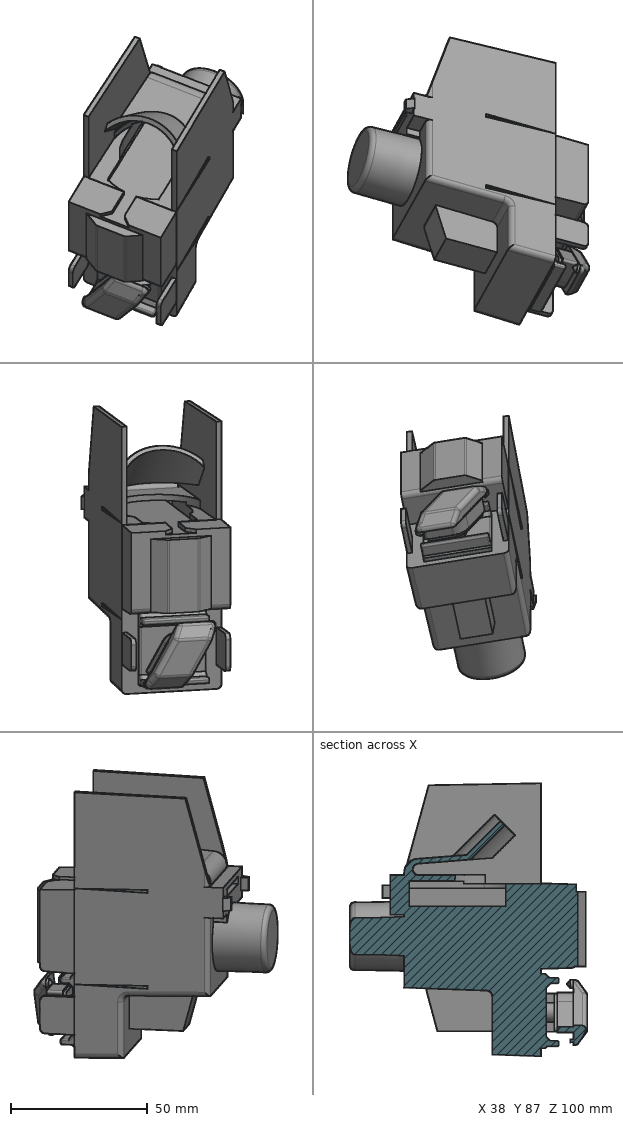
import cadquery as cq
import math


height = 100.0
width = 38.0
housing_depth = 50.2
plate_thickness = 2.0
draft = math.tan(math.radians(1))
bottom_slope = math.tan(math.radians(2))
edge_radius = 2.0
foot_depth = 18.0
foot_top = 24.0
plate_top_depth = 41.2
slant_foot = 66.4
floor_height = 63.2

rib_length = 27.2
rib_thickness = 1.1
rib_heights = (28.0, 64.0)

recess_half_width = 10.4
recess_floor = 61.6
recess_roof = 64.2
recess_corner = 2.5
side_slot_half_width = 13.4
side_slot_start = 13.0
side_slot_full_width = 21.0
side_slot_bend = (12.4, 16.5)
side_slot_bottom = 55.0

shelf_top = 66.4
shelf_half_width = 16.5
shelf_edge_middle = 35.2
shelf_edge_side = 20.5
sheet_half_width = 15.1
sheet_thickness = 1.9
sheet_back_top = 72.4
sheet_slope = math.tan(math.radians(4.5))
bend_radius = 5.3
scoop_radius = 19.3
scoop_apex_y = 17.1
scoop_apex_z = 88.5

bar_front = 48.2
bar_back = 55.3
bar_bottom = 54.9
bar_foot_bottom = 51.8
bar_foot_half_width = 11.0
hook_bottom = 57.9
hook_top = 62.7
hook_inner = 15.7
hook_tip = 17.4
hook_length = 2.8

knob_base_radius = 12.8
knob_end_radius = 12.5
knob_height = 44.0
knob_end = 70.1
knob_rounding = 2.0

rail_half_width = 6.0
rail_bottom = 9.2
rail_back = 38.0
rail_top_back = 42.0

block_half_width = 18.8
block_depth = 12.9
block_bottom = 32.0
block_top = 63.4
block_slope = 0.4
block_rounding = 2.0
panel_height = 3.4
panel_base_half_width = 11.5
panel_face_half_width = 5.8
panel_bottom = 32.9
panel_top = 60.3
panel_rounding = 1.6
key_half_width = 2.5
key_flare_half_width = 5.8
key_flare_depth = 3.1

tab_thickness = 1.8
tab_rounding = 2.0
tab_top = 23.1
left_tab_bottom = 11.1
right_tab_bottom = 9.0

frame_half_width = 12.6
frame_thickness = 1.9
frame_bottom = 3.0
frame_top = 30.3
jaw_reach = 6.5
jaw_thickness = 2.2
jaw_inset = 1.4
lower_jaw_inset = 0.6
jaw_root = 1.5
frame_edge_radius = 0.5
jaw_tip_radius = 0.7
lever_height = 16.1
lever_half_length = 12.0
lever_half_width = 7.8
lever_tilt = math.tan(math.radians(30))
lever_base = 11.8
lever_rim = 1.3
lever_face = 16.9
lever_face_half_length = 6.8
lever_corner_radius = 2.0
lever_edge_radius = 1.9
stem_diameter = 13.0
stem_half_length = 7.4
stem_tip_radius = 0.8
collar_inset = 0.6
collar_length = 1.2
shaft_diameter = 7.0
stem_start = 5.9
peg_radius = 1.6
peg_length = 1.1
peg_point = 1.4

half_width = width / 2


def box(x_min, x_max, y_min, y_max, z_min, z_max):
    size = (x_max - x_min, y_max - y_min, z_max - z_min)
    return cq.Workplane("XY").box(*size, centered=False).translate((x_min, y_min, z_min))


def side_profile(points, x_min, x_max):
    """Extrude a closed outline of (Y, Z) points along X."""
    return cq.Workplane("YZ").workplane(offset=x_min).polyline(points).close().extrude(x_max - x_min)


def plan_profile(points, z_min, z_max):
    """Extrude a closed outline of (X, Y) points along Z."""
    return cq.Workplane("XY").workplane(offset=z_min).polyline(points).close().extrude(z_max - z_min)


def mirrored(points):
    """Complete an outline given by its +X half."""
    return points + [(-x, y) for x, y in reversed(points)]


def housing():
    back_half_width = half_width - draft * housing_depth
    foot_back_z = bottom_slope * foot_depth
    body_back_z = foot_top + bottom_slope * (housing_depth - foot_depth)
    outline = [
        (0, 0),
        (foot_depth, foot_back_z),
        (foot_depth, foot_top),
        (housing_depth, body_back_z),
        (housing_depth, height),
        (0, height),
    ]
    plan = mirrored([(half_width, 0), (back_half_width, housing_depth)])
    body = side_profile(outline, -half_width, half_width).intersect(plan_profile(plan, 0, height))
    inner_foot_corner = cq.selectors.NearestToPointSelector((0, foot_depth, foot_top))
    body = body.edges(inner_foot_corner).fillet(edge_radius)
    rounded = body.faces("<X or >X").edges().edges(cq.selectors.BoxSelector(
        (-half_width - 1, 0.1, -1), (half_width + 1, housing_depth + 1, height - 0.1)))
    body = rounded.fillet(edge_radius)

    inner_half_width = half_width - plate_thickness
    gap = mirrored([
        (inner_half_width, -1),
        (inner_half_width - draft * (housing_depth + 1), housing_depth + 1),
    ])
    body = body.cut(plan_profile(gap, floor_height, height + 1))
    top_cut = [(0, height), (housing_depth, height - draft * housing_depth),
               (housing_depth, height + 1), (0, height + 1)]
    slant_run = housing_depth - plate_top_depth
    plate_top_back = height - draft * plate_top_depth
    slant_rise = plate_top_back - slant_foot
    slant_cut = [
        (housing_depth, slant_foot),
        (housing_depth + slant_run, slant_foot),
        (housing_depth + slant_run, plate_top_back + slant_rise),
        (plate_top_depth - slant_run, plate_top_back + slant_rise),
    ]
    for cut in (top_cut, slant_cut):
        body = body.cut(side_profile(cut, -width, width))
    return body


def guide_ribs():
    inner = half_width - plate_thickness
    ribs = cq.Workplane("XY")
    for z in rib_heights:
        for x_min in (-half_width, inner):
            wedge = [(0, z), (rib_length, z + rib_thickness / 2), (rib_length, z - rib_thickness / 2)]
            ribs = ribs.add(side_profile(wedge, x_min, x_min + plate_thickness))
    return ribs.combine()


def floor_recess():
    back = bar_back + 1
    middle = (
        cq.Workplane("XY").workplane(offset=recess_floor)
        .moveTo(recess_half_width, recess_corner)
        .threePointArc((0, 0), (-recess_half_width, recess_corner))
        .lineTo(-recess_half_width, back)
        .lineTo(recess_half_width, back)
        .close().extrude(recess_roof - recess_floor)
    )
    slot = (
        cq.Workplane("XY").workplane(offset=side_slot_bottom)
        .moveTo(recess_half_width, side_slot_start)
        .threePointArc(side_slot_bend, (side_slot_half_width, side_slot_full_width))
        .lineTo(side_slot_half_width, bar_front)
        .lineTo(recess_half_width, bar_front)
        .close().extrude(recess_roof - side_slot_bottom)
    )
    return middle.union(slot).union(slot.mirror("YZ"))


def shelf():
    return (
        cq.Workplane("XY").workplane(offset=floor_height)
        .moveTo(shelf_half_width, shelf_edge_side)
        .threePointArc((0, shelf_edge_middle), (-shelf_half_width, shelf_edge_side))
        .lineTo(-shelf_half_width, bar_front)
        .lineTo(shelf_half_width, bar_front)
        .close().extrude(shelf_top - floor_height)
    )


def tilted_cylinder(radius):
    """Cylinder whose axis slopes down at 45 degrees from the open end of the scoop."""
    drop = scoop_radius * math.sqrt(0.5)
    end = cq.Plane(
        origin=(0, scoop_apex_y - drop, scoop_apex_z - drop), xDir=(1, 0, 0), normal=(0, 1, -1)
    )
    return cq.Workplane(end).circle(radius).extrude(height)


def guide_sheet():
    back = housing_depth
    bend_start = back - bend_radius
    rise = sheet_slope * (bend_start - scoop_apex_y)
    underside = sheet_back_top - sheet_thickness
    fold_radius = (underside - shelf_top) / 2
    sheet = (
        cq.Workplane("YZ").workplane(offset=-sheet_half_width)
        .moveTo(scoop_apex_y, sheet_back_top + rise)
        .lineTo(bend_start, sheet_back_top)
        .radiusArc((back, sheet_back_top - bend_radius), bend_radius)
        .lineTo(back, shelf_top)
        .lineTo(bend_start, shelf_top)
        .threePointArc((bend_start + fold_radius, shelf_top + fold_radius), (bend_start, underside))
        .lineTo(scoop_apex_y, underside + rise)
        .close().extrude(2 * sheet_half_width)
    )
    above = side_profile(
        [(0, underside + sheet_slope * bend_start), (bend_start, underside), (bend_start, height), (0, height)],
        -sheet_half_width, sheet_half_width)
    scoop = tilted_cylinder(scoop_radius).intersect(above)
    bore = tilted_cylinder(scoop_radius - sheet_thickness)
    return sheet.union(scoop).cut(bore.intersect(above))


def cross_bar():
    plan = mirrored([(half_width - draft * y, y) for y in (bar_front, bar_back)])
    bar = plan_profile(plan, bar_bottom, shelf_top)
    bar = bar.union(box(-bar_foot_half_width, bar_foot_half_width, bar_front, bar_back,
                        bar_foot_bottom, bar_bottom))
    hook = plan_profile(
        [(hook_inner, bar_back), (half_width, bar_back),
         (hook_tip, bar_back + hook_length), (hook_inner, bar_back + hook_length)],
        hook_bottom, hook_top)
    return bar.union(hook).union(hook.mirror("YZ"))


def knob():
    cone = (
        cq.Workplane("XY")
        .polyline([(0, bar_front), (knob_base_radius, bar_front), (knob_end_radius, knob_end), (0, knob_end)])
        .close().revolve(360, (0, 0), (0, 1))
    )
    return cone.faces(">Y").edges().fillet(knob_rounding).translate((0, 0, knob_height))


def rail():
    inside = foot_depth / 2
    root = foot_top + edge_radius
    outline = [(inside, rail_bottom), (rail_back, rail_bottom), (rail_top_back, foot_top),
               (rail_top_back, root), (inside, root)]
    return side_profile(outline, -rail_half_width, rail_half_width)


def front_block():
    outline = [(0, block_bottom), (0, block_top), (-block_depth, block_top - block_slope),
               (-block_depth, block_bottom + block_slope)]
    block = side_profile(outline, -block_half_width, block_half_width)
    block = block.faces("<Y").edges("<Z").fillet(block_rounding)
    panel = plan_profile(
        mirrored([(panel_base_half_width, -block_depth / 2), (panel_base_half_width, -block_depth),
                  (panel_face_half_width, -block_depth - panel_height)]),
        panel_bottom, panel_top)
    panel = panel.faces("<Y").edges("|Z").fillet(panel_rounding)
    return block.union(panel)


def keyway():
    return plan_profile(
        mirrored([(key_half_width, recess_corner), (key_half_width, key_flare_depth - block_depth),
                  (key_flare_half_width, -block_depth)]),
        recess_floor, block_top)


def side_tabs():
    left = box(-block_half_width, tab_thickness - block_half_width, -block_depth, 0, left_tab_bottom, tab_top)
    right = box(block_half_width - tab_thickness, block_half_width, -block_depth, 0, right_tab_bottom, tab_top)
    return left.faces("<Y").edges("|X").fillet(tab_rounding).union(
        right.faces("<Y").edges("|X").fillet(tab_rounding))


def lever_frame():
    upper = frame_top - jaw_inset
    lower = frame_bottom + lower_jaw_inset
    outline = [
        (0, frame_bottom),
        (-jaw_root, frame_bottom),
        (-jaw_root - lower_jaw_inset, lower),
        (-jaw_reach, lower),
        (-jaw_reach, lower + jaw_thickness),
        (-frame_thickness - jaw_root, lower + jaw_thickness),
        (-frame_thickness, lower + jaw_thickness + jaw_root),
        (-frame_thickness, upper - jaw_thickness - jaw_root),
        (-frame_thickness - jaw_root, upper - jaw_thickness),
        (-jaw_reach, upper - jaw_thickness),
        (-jaw_reach, upper),
        (-jaw_root - jaw_inset, upper),
        (-jaw_root, frame_top),
        (0, frame_top),
    ]
    frame = side_profile(outline, -frame_half_width, frame_half_width)
    frame = frame.faces("<Y").edges("|X").fillet(jaw_tip_radius)
    ends = frame.faces("<X or >X").edges()
    exposed = cq.selectors.BoxSelector((-width, -height, 0), (width, -0.1, height))
    return ends.edges(exposed).fillet(frame_edge_radius)


def lever():
    def cylinder(x, z, radius, start, length):
        return cq.Workplane("XZ", origin=(x, -start, z)).circle(radius).extrude(length)

    def slanted_plate(half_wide, half_long, start, end):
        shift = half_long * lever_tilt
        outline = [(shift - half_wide, half_long), (shift + half_wide, half_long),
                   (half_wide - shift, -half_long), (-shift - half_wide, -half_long)]
        return cq.Workplane("XZ", origin=(0, -start, 0)).polyline(outline).close().extrude(end - start)

    def stem(radius, half_long, start, end):
        block = slanted_plate(radius * math.hypot(1, lever_tilt), half_long, start, end)
        block = block.edges("|Y").edges("<X or >X").fillet(stem_tip_radius)
        blunt_corners = cq.selectors.BoxSelector((-radius, -height, -height), (radius, 0, height))
        return block.edges("|Y").edges(blunt_corners).fillet(radius)

    plate = slanted_plate(lever_half_width, lever_half_length, lever_base, lever_face)
    plate = plate.edges("|Y").edges("<X or >X").fillet(lever_corner_radius)
    bevels = side_profile(
        [(-lever_base, -lever_half_length), (-lever_base, lever_half_length),
         (-lever_base - lever_rim, lever_half_length), (-lever_face, lever_face_half_length),
         (-lever_face, -lever_face_half_length), (-lever_base - lever_rim, -lever_half_length)],
        -width, width)
    plate = plate.intersect(bevels)
    plate = plate.edges(cq.selectors.BoxSelector(
        (-width, -height, -height), (width, -lever_base - 0.1, height))).fillet(lever_edge_radius)

    radius = stem_diameter / 2
    neck = stem(radius, stem_half_length, stem_start, lever_base)
    collar = stem(radius - collar_inset, stem_half_length - collar_inset,
                  stem_start - collar_length, stem_start)
    parts = plate.union(neck).union(collar).union(cylinder(0, 0, shaft_diameter / 2, 0, stem_start))

    peg_z = lever_half_length - peg_radius
    peg_x = lever_half_width + peg_z * lever_tilt - peg_radius * math.hypot(1, lever_tilt)
    for side in (-1, 1):
        peg = cylinder(side * peg_x, side * peg_z, peg_radius, lever_base - peg_length, peg_length)
        point = cq.Workplane(cq.Solid.makeCone(
            peg_radius, 0, peg_point,
            pnt=(side * peg_x, peg_length - lever_base, side * peg_z), dir=(0, 1, 0)))
        parts = parts.union(peg).union(point)
    return parts.translate((0, 0, lever_height))


result = (
    housing()
    .union(guide_ribs())
    .union(shelf())
    .union(cross_bar())
    .cut(floor_recess())
    .union(guide_sheet())
    .union(knob())
    .union(rail())
    .union(front_block())
    .cut(keyway())
    .union(side_tabs())
    .union(lever_frame())
    .union(lever())
)